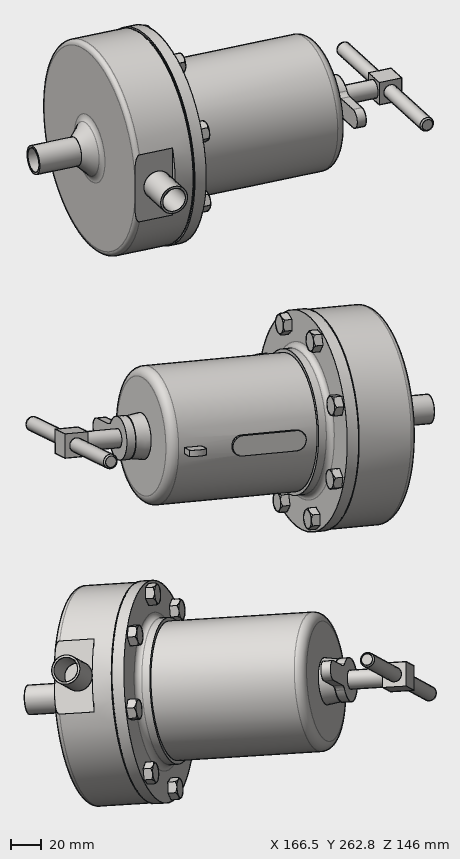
import cadquery as cq
import math

TOTAL_LENGTH = 262.8
TOTAL_WIDTH = 166.5

CONE_START = 30.2
BODY_START = 40.7
RIM_START = 68.0
PLATE_START = 82.0
PLATE_END = 90.2
COLLAR_END = 99.5
HOUSING_END = 204.8
LEVER_START = 215.0
LEVER_END = 221.5

BODY_RADIUS = 72.3
BODY_EDGE_RADIUS = 3.5
FLAT_X = 68.0
SEAM_RADIUS = 71.5
SEAM_WIDTH = 0.8
CONE_FILLET = 6.8
CONE_ANGLE = math.radians(45)

PIPE_RADIUS = 9.7
BORE_RADIUS = 8.1
OUTLET_BORE_DEPTH = 22.0
INLET_BORE_DEPTH = 22.0
INLET_Y = 57.0

PLATE_DIAMETER = 146.0
PLATE_RADIUS = PLATE_DIAMETER / 2
INLET_END_X = TOTAL_WIDTH - PLATE_RADIUS
COLLAR_RADIUS = 48.0
COLLAR_FILLET = 4.0
HOUSING_RADIUS = 45.7
HOUSING_EDGE_RADIUS = 6.3
HOUSING_TWIST = -1.9
NECK_BASE_RADIUS = 15.5
NECK_TOP_RADIUS = 14.0

BOLT_COUNT = 8
BOLT_CIRCLE_RADIUS = 64.7
BOLT_HEAD_HEIGHT = 6.3
BOLT_ACROSS_FLATS = 12.5
BOLT_CHAMFER = 1.0
BOLT_TWIST = 18.0

TAB_TIP_X = -55.2
TAB_START = 182.0
TAB_LENGTH = 12.4
TAB_THICKNESS = 4.2
TAB_ARCH = 1.5
COVER_FACE_X = -47.5
COVER_CENTER_Y = 134.3
COVER_LENGTH = 52.3
COVER_WIDTH = 13.7

LEVER_HUB_RADIUS = 14.5
LEVER_ARM_END_X = 40.7
LEVER_ARM_WIDTH = 13.1
LEVER_FILLET = 5.8

STEM_RADIUS = 6.3
BLOCK_SIZE = 16.3
BAR_DIAMETER = 9.7
BAR_LENGTH = 127.7
BAR_CHAMFER = 1.0


def sketch_plane(y):
    """XZ plane at the given Y, extruding toward +Y; local x is X and local y is -Z."""
    return cq.Workplane(cq.Plane(origin=(0, y, 0), xDir=(1, 0, 0), normal=(0, 1, 0)))


def disc(radius, start, end):
    return sketch_plane(start).circle(radius).extrude(end - start)


def lower_body():
    """Round body with a side flat, under a full-round rim and a narrow seam groove."""
    bowl = disc(BODY_RADIUS, BODY_START, RIM_START).faces("<Y").edges().fillet(BODY_EDGE_RADIUS)
    flat_cutter = cq.Workplane().box(2 * BODY_RADIUS, TOTAL_LENGTH, 2 * BODY_RADIUS)
    bowl = bowl.cut(flat_cutter.translate((FLAT_X + BODY_RADIUS, 0, 0)))
    seam_start = PLATE_START - SEAM_WIDTH
    rim = disc(BODY_RADIUS, RIM_START, seam_start)
    return bowl.union(rim).union(disc(SEAM_RADIUS, seam_start, PLATE_START))


def outlet():
    """Bored pipe, a cone and the fillet blending the cone into the body."""
    cone_base_radius = PIPE_RADIUS + (BODY_START - CONE_START) / math.tan(CONE_ANGLE)
    tangent_length = CONE_FILLET * math.tan(CONE_ANGLE / 2)
    tangent_step = tangent_length * math.cos(CONE_ANGLE)
    fillet_end = cone_base_radius + tangent_length
    fillet_middle = CONE_FILLET * math.sin(CONE_ANGLE / 2)
    fillet_rise = CONE_FILLET * (1 - math.cos(CONE_ANGLE / 2))
    profile = (
        cq.Workplane("XY")
        .lineTo(PIPE_RADIUS, 0)
        .lineTo(PIPE_RADIUS, CONE_START)
        .lineTo(cone_base_radius - tangent_step, BODY_START - tangent_length * math.sin(CONE_ANGLE))
        .threePointArc((fillet_end - fillet_middle, BODY_START - fillet_rise), (fillet_end, BODY_START))
        .lineTo(fillet_end, RIM_START)
        .lineTo(0, RIM_START)
        .close()
    )
    return profile.revolve(360, (0, 0), (0, 1)).cut(disc(BORE_RADIUS, 0, OUTLET_BORE_DEPTH))


def inlet():
    """Side pipe along +X, bored from its free end."""
    pipe = cq.Workplane("YZ").center(INLET_Y, 0).circle(PIPE_RADIUS).extrude(INLET_END_X)
    bore_start = cq.Workplane("YZ", origin=(INLET_END_X - INLET_BORE_DEPTH, INLET_Y, 0))
    return pipe.cut(bore_start.circle(BORE_RADIUS).extrude(INLET_BORE_DEPTH))


def bolt_head(angle):
    """Hexagon head with its outer corners turned off, placed on the bolt circle."""
    corner_diameter = BOLT_ACROSS_FLATS / math.cos(math.radians(30))
    turned_blank = (
        disc(corner_diameter / 2, PLATE_END, PLATE_END + BOLT_HEAD_HEIGHT)
        .faces(">Y")
        .edges()
        .chamfer(BOLT_CHAMFER)
    )
    return (
        sketch_plane(PLATE_END)
        .transformed(rotate=(0, 0, -BOLT_TWIST))
        .polygon(6, corner_diameter)
        .extrude(BOLT_HEAD_HEIGHT)
        .intersect(turned_blank)
        .translate((BOLT_CIRCLE_RADIUS, 0, 0))
        .rotate((0, 0, 0), (0, 1, 0), angle)
    )


def tab():
    """Small radial plate with a gently arched outer end."""
    corner_x = TAB_TIP_X + TAB_ARCH
    tab_end = TAB_START + TAB_LENGTH
    return (
        cq.Workplane("XY", origin=(0, 0, -TAB_THICKNESS / 2))
        .moveTo(0, TAB_START)
        .lineTo(corner_x, TAB_START)
        .threePointArc((TAB_TIP_X, TAB_START + TAB_LENGTH / 2), (corner_x, tab_end))
        .lineTo(0, tab_end)
        .close()
        .extrude(TAB_THICKNESS)
    )


def window_cover():
    return (
        cq.Workplane("YZ", origin=(COVER_FACE_X, COVER_CENTER_Y, 0))
        .slot2D(COVER_LENGTH, COVER_WIDTH)
        .extrude(-COVER_FACE_X)
    )


def housing():
    """Cover plate, filleted collar, round-edged cylinder, neck and side details."""
    plate = disc(PLATE_RADIUS, PLATE_START, PLATE_END)
    collar = disc(COLLAR_RADIUS, PLATE_END, COLLAR_END)
    base = plate.union(collar)
    base = base.edges(cq.selectors.RadiusNthSelector(0)).edges("<Y").fillet(COLLAR_FILLET)
    cylinder = disc(HOUSING_RADIUS, COLLAR_END, HOUSING_END).faces(">Y").edges().fillet(HOUSING_EDGE_RADIUS)
    neck = (
        sketch_plane(HOUSING_END)
        .circle(NECK_BASE_RADIUS)
        .workplane(offset=LEVER_START - HOUSING_END)
        .circle(NECK_TOP_RADIUS)
        .loft()
    )
    body = base.union(cylinder).union(neck).union(tab()).union(window_cover())
    bolt_pitch = 360 / BOLT_COUNT
    for index in range(BOLT_COUNT):
        body = body.union(bolt_head((index + 0.5) * bolt_pitch))
    return body.rotate((0, 0, 0), (0, 1, 0), HOUSING_TWIST)


def lever():
    """Round hub with a round-ended arm toward +X, blended where they meet."""
    thickness = LEVER_END - LEVER_START
    arm_tip_center = LEVER_ARM_END_X - LEVER_ARM_WIDTH / 2
    arm = sketch_plane(LEVER_START).center(arm_tip_center / 2, 0).rect(arm_tip_center, LEVER_ARM_WIDTH)
    tip = sketch_plane(LEVER_START).center(arm_tip_center, 0).circle(LEVER_ARM_WIDTH / 2)
    blank = disc(LEVER_HUB_RADIUS, LEVER_START, LEVER_END).union(arm.extrude(thickness))
    corner_zone = cq.selectors.BoxSelector(
        (LEVER_HUB_RADIUS / 2, LEVER_START, -LEVER_ARM_WIDTH),
        (LEVER_HUB_RADIUS, LEVER_END, LEVER_ARM_WIDTH),
    )
    blank = blank.edges("|Y").edges(corner_zone).fillet(LEVER_FILLET)
    return blank.union(tip.extrude(thickness))


def handle():
    """Stem, square block and cross bar."""
    block_center = TOTAL_LENGTH - BLOCK_SIZE / 2
    stem = disc(STEM_RADIUS, LEVER_START, block_center)
    block = cq.Workplane().box(BLOCK_SIZE, BLOCK_SIZE, BLOCK_SIZE).translate((0, block_center, 0))
    bar = (
        cq.Workplane("YZ", origin=(-BAR_LENGTH / 2, block_center, 0))
        .circle(BAR_DIAMETER / 2)
        .extrude(BAR_LENGTH)
        .faces("<X or >X")
        .edges()
        .chamfer(BAR_CHAMFER)
    )
    return stem.union(block).union(bar)


result = lower_body().union(outlet()).union(inlet()).union(housing()).union(lever()).union(handle())